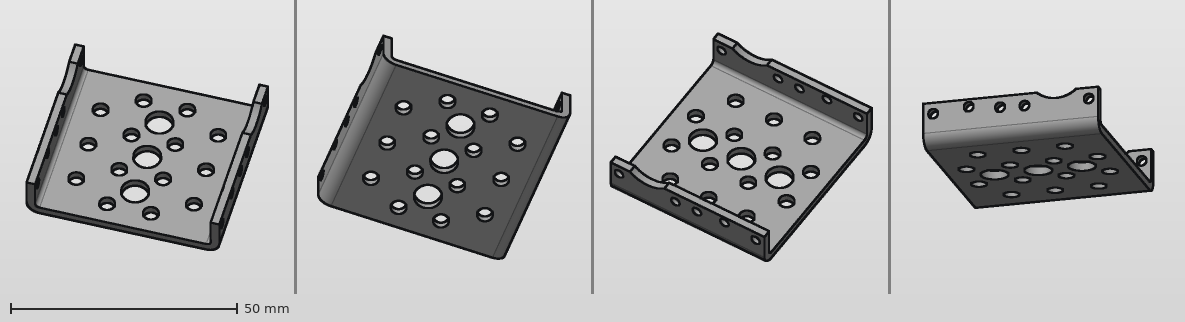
import cadquery as cq

width = 44.2
length = 40.2
height = 10.0
thickness = 2.0
inner_bend_radius = 1.0
outer_bend_radius = inner_bend_radius + thickness

pitch = 10.05
large_hole_diameter = 6.2
small_hole_diameter = 3.5
outer_column_x = 13.5
inner_column_x = pitch / 2

wall_hole_diameter = 2.2
wall_holes = [(17.95, 2.55), (3.2, 2.75), (-2.45, 2.55), (-9.65, 1.72), (-17.8, 2.55)]

notch_y = 10.55
notch_width = 9.0
notch_depth = 1.7
notch_radius = ((notch_width / 2) ** 2 + notch_depth ** 2) / (2 * notch_depth)
notch_center_z = height - notch_depth + notch_radius


def bent_channel():
    """U-shaped sheet with concentric bends, open at the top."""
    outside = (
        cq.Workplane("XY")
        .box(width, length, height, centered=(True, True, False))
        .edges("|Y and <Z")
        .fillet(outer_bend_radius)
    )
    inside = (
        cq.Workplane("XY", origin=(0, 0, thickness))
        .box(width - 2 * thickness, length, height, centered=(True, True, False))
        .edges("|Y and <Z")
        .fillet(inner_bend_radius)
    )
    return outside.cut(inside)


def base_cutter(points, diameter):
    """Vertical cylinders through the base plate."""
    return cq.Workplane("XY").pushPoints(points).circle(diameter / 2).extrude(thickness)


def wall_cutter(points, diameter):
    """Cylinders along X through both walls, placed by (Y, Z)."""
    return cq.Workplane("YZ").pushPoints(points).circle(diameter / 2).extrude(width / 2, both=True)


center_rows = [row * pitch for row in (-1, 0, 1)]
inner_rows = [row * pitch for row in (-1.5, -0.5, 0.5, 1.5)]
large_points = [(0, y) for y in center_rows]
small_points = [(side * outer_column_x, y) for side in (-1, 1) for y in center_rows]
small_points += [(side * inner_column_x, y) for side in (-1, 1) for y in inner_rows]
wall_points = [(y, height - depth) for y, depth in wall_holes]

result = (
    bent_channel()
    .cut(base_cutter(large_points, large_hole_diameter))
    .cut(base_cutter(small_points, small_hole_diameter))
    .cut(wall_cutter(wall_points, wall_hole_diameter))
    .cut(wall_cutter([(notch_y, notch_center_z)], 2 * notch_radius))
)